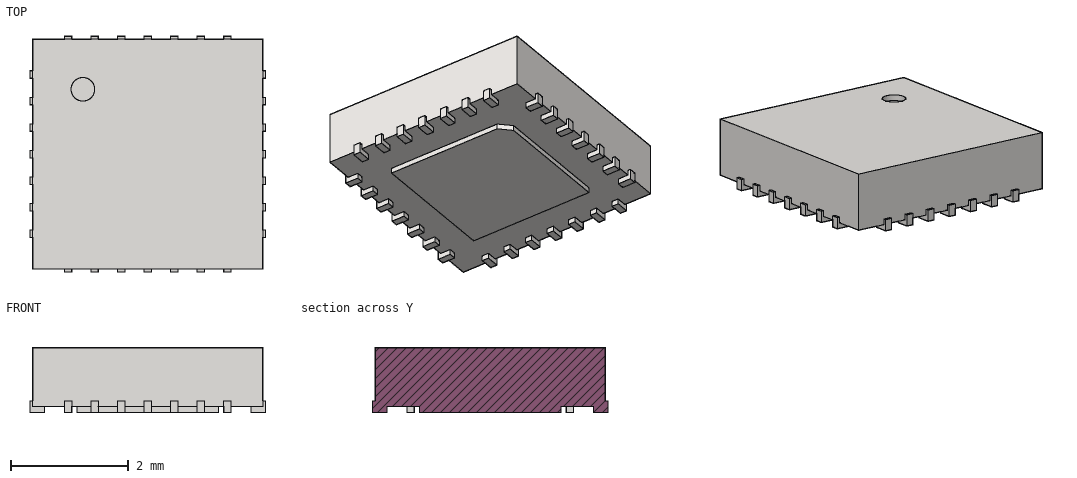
import cadquery as cq

overall_span = 4.0
overall_height = 1.1
standoff = 0.1

lead_protrusion = 0.05
body_side = overall_span - 2 * lead_protrusion
body_height = overall_height - standoff

leads_per_side = 7
lead_pitch = 0.45
lead_width = 0.13
lead_length = 0.25
lead_height = 0.2

pad_side = 2.4
pad_corner_chamfer = 0.2

marker_diameter = 0.4
marker_depth = 0.1
marker_offset = 1.1


def make_body():
    """Square moulded body, raised by the standoff."""
    return (
        cq.Workplane("XY")
        .workplane(offset=standoff)
        .rect(body_side, body_side)
        .extrude(body_height)
    )


def make_lead_row():
    """Row of leads along the +X side, reaching under and into the body."""
    lead_center_x = (overall_span - lead_length) / 2
    first_y = -lead_pitch * (leads_per_side - 1) / 2
    centers = [(lead_center_x, first_y + i * lead_pitch) for i in range(leads_per_side)]
    return (
        cq.Workplane("XY")
        .pushPoints(centers)
        .rect(lead_length, lead_width)
        .extrude(lead_height)
    )


def make_thermal_pad():
    """Square pad on the seating plane with the pin 1 corner cut off."""
    return (
        cq.Workplane("XY")
        .rect(pad_side, pad_side)
        .extrude(standoff)
        .edges("|Z")
        .edges("<X and >Y")
        .chamfer(pad_corner_chamfer)
    )


def make_marker():
    """Disc to be removed from the top face near pin 1."""
    return (
        cq.Workplane("XY")
        .workplane(offset=overall_height - marker_depth)
        .center(-marker_offset, marker_offset)
        .circle(marker_diameter / 2)
        .extrude(marker_depth)
    )


result = make_body().union(make_thermal_pad())
for side_angle in (0, 90, 180, 270):
    result = result.union(make_lead_row().rotate((0, 0, 0), (0, 0, 1), side_angle))
result = result.cut(make_marker())